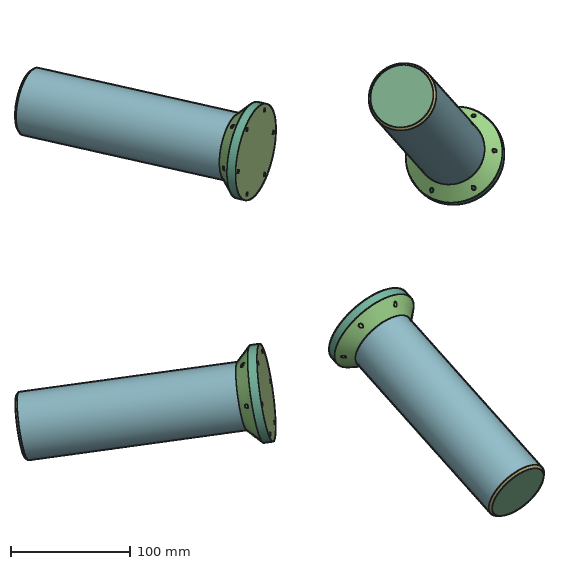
import cadquery as cq

total_length = 209.0
shaft_diameter = 58.0
shaft_chamfer = 2.0
flange_diameter = 83.0
rim_thickness = 8.0
cone_length = 12.5
hole_count = 6
hole_diameter = 3.1
hole_circle_diameter = 72.0

shaft_radius = shaft_diameter / 2
flange_radius = flange_diameter / 2
rim_start = total_length - rim_thickness
cone_start = rim_start - cone_length


def make_body():
    """Chamfered shaft flaring through a cone into the flange rim."""
    half_profile = (
        cq.Workplane("XY")
        .moveTo(0, 0)
        .lineTo(0, shaft_radius - shaft_chamfer)
        .lineTo(shaft_chamfer, shaft_radius)
        .lineTo(cone_start, shaft_radius)
        .lineTo(rim_start, flange_radius)
        .lineTo(total_length, flange_radius)
        .lineTo(total_length, 0)
        .close()
    )
    return half_profile.revolve(360, (0, 0, 0), (1, 0, 0))


def make_flange_holes():
    """Ring of holes parallel to X, passing through the cone and the rim."""
    return (
        cq.Workplane("YZ", origin=(cone_start, 0, 0))
        .polarArray(hole_circle_diameter / 2, 0, 360, hole_count)
        .circle(hole_diameter / 2)
        .extrude(total_length - cone_start)
    )


result = make_body().cut(make_flange_holes())